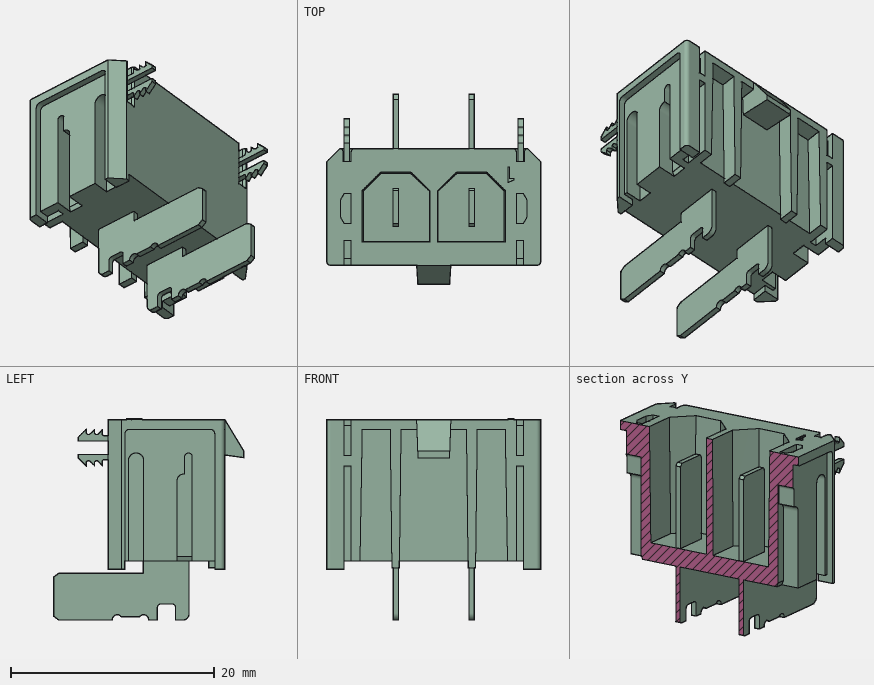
import cadquery as cq


width = 21.08
depth = 11.5
leg_height = 14.74
core_height = 13.93
back_chamfer = 1.3
front_radius = 0.4
half_width = width / 2

recess_depth = 0.66
recess_front = 1.0
recess_back = 9.85
recess_top = -0.96
recess_radius = 0.45
groove_width = 1.5
groove_top = -3.29
back_groove_front = 8.0
front_groove_front = 3.22
front_groove_neck = groove_width / 2
front_groove_shoulder = -5.35
front_groove_shoulder_radius = 0.7
groove_lead_in_height = 0.46
groove_lead_in_depth = 0.2

slot_inner = 8.13
slot_outer = 8.83
slot_depth = 2.43
upper_slot_shelf = -0.6
upper_slot_floor = -3.52
upper_slot_floor_depth = 0.68
lower_slot_top = -4.55
lower_slot_radius = 0.23
lock_slot_outer = 8.92
lock_slot_depth = 1.25
lock_slot_bottom = -5.0
lock_slot_flare = 0.15
lock_slot_flare_length = 0.3

pocket_outer = 9.2
pocket_front = 4.14
pocket_back = 7.06
pocket_corner = 0.65
pocket_depth = 0.6

pitch = 7.46
cavity_width = 6.7
cavity_front = 2.29
cavity_back = 9.21
cavity_flat = 2.92
cavity_shoulder = 7.33
cavity_depth = 12.0
cavity_outer_draft = 0.165
cavity_back_draft = 0.16
cavity_small_draft = 0.05

panel_depth = 1.6
panel_top = -0.97
side_panel_outer_top = 7.04
side_panel_outer_bottom = 7.26
rib_x = 3.75
rib_half_top = 0.53
rib_half_bottom = 0.375
rib_bottom = -14.6

latch_reach = 1.86
latch_half_root = 1.69
latch_half_tip = 1.55
latch_tip_top = -3.09
latch_tip_bottom = -3.76
latch_root_bottom = -3.5

sheet = 0.55
terminal_bottom = -19.75
terminal_tip = 16.86
arm_top = -15.11
post_front = 3.52
post_back = 8.06
heel_radius = 0.65
tip_corner_y = 0.52
tip_corner_z = 0.38
heel_notch_front = 4.87
heel_notch_back = 6.64
heel_notch_top = -18.16
heel_notch_radius = 0.33
relief_top = -19.43
relief_radius = 0.48
relief_front = 8.0
relief_back = 10.6
relief_center_z = -19.7
blade_front = 3.84
blade_back = 7.59
blade_top = -3.25
blade_front_bevel = 0.3
blade_back_bevel = 0.22
blade_bevel_height = 0.3

lock_x = 8.56
lock_middle = -2.765
lock_half_gap = 0.655
lock_shank = 0.54
lock_shank_radius = 0.15
lock_tip = 14.45
lock_tip_height = 0.37
lock_root = 9.6
barb_height = 1.8
barb_valley = 1.3
first_barb_height = 1.85
barb_y = (13.63, 12.82, 12.07)
barb_valley_length = 0.4
barb_valley_rise = 0.1

mark_height = 0.13
mark_left = 7.32
mark_right = 7.88
mark_stem = 0.15
mark_front = 8.16
mark_back = 9.67
mark_flag_back = 8.56
mark_flag_tip = 8.41


def block(x0, x1, y0, y1, z0, z1):
    return cq.Workplane("XY").box(x1 - x0, y1 - y0, z1 - z0, centered=False).translate((x0, y0, z0))


def side_profile(points, x0, x1):
    """Extrude a closed (y, z) outline from x0 to x1."""
    return cq.Workplane("YZ").polyline(points).close().extrude(x1 - x0).translate((x0, 0, 0))


def front_profile(points, y0, y1):
    """Extrude a closed (x, z) outline from y0 to y1."""
    return cq.Workplane("XZ").polyline(points).close().extrude(y0 - y1).translate((0, y0, 0))


def both_ends(shape):
    """The +X shape together with its mirror image."""
    return shape.union(shape.mirror("YZ"))


def make_shell():
    shell = block(-half_width, half_width, 0, depth, -leg_height, 0)
    shell = shell.edges("|Z and >Y").chamfer(back_chamfer)
    shell = shell.edges("|Z and <Y").fillet(front_radius)
    between_legs = block(-slot_outer, slot_outer, 0, depth, -leg_height, -core_height)
    below_recesses = block(-half_width, half_width, recess_front, recess_back, -leg_height, -core_height)
    return shell.cut(between_legs).cut(below_recesses)


def make_round_groove(front_y, groove, mouth_x):
    """End-wall groove of the given width, open at the bottom and with a half-round top."""
    radius = groove / 2
    return (
        cq.Workplane("YZ")
        .moveTo(front_y, -core_height)
        .lineTo(front_y, groove_top - radius)
        .threePointArc((front_y + radius, groove_top), (front_y + groove, groove_top - radius))
        .lineTo(front_y + groove, -core_height)
        .close()
        .extrude(mouth_x - slot_inner)
        .translate((slot_inner, 0, 0))
    )


def make_end_recess():
    floor_x = half_width - recess_depth
    recess = block(floor_x, half_width, recess_front, recess_back, -leg_height, recess_top)
    recess = recess.edges("|X and >Z").fillet(recess_radius)

    back_groove = make_round_groove(back_groove_front, groove_width, floor_x)
    neck_back = front_groove_front + front_groove_neck
    groove_back = front_groove_front + groove_width
    neck = make_round_groove(front_groove_front, front_groove_neck, floor_x)
    wide = block(slot_inner, floor_x, neck_back, groove_back, -core_height, front_groove_shoulder)
    wide = wide.edges("|X and >Z and >Y").fillet(front_groove_shoulder_radius)
    lead_in = front_profile(
        [
            (slot_inner, -core_height),
            (slot_inner - groove_lead_in_depth, -core_height),
            (slot_inner, -core_height + groove_lead_in_height),
        ],
        front_groove_front,
        groove_back,
    )
    return recess.union(back_groove).union(neck).union(wide).union(lead_in)


def make_leg_slots():
    upper = side_profile(
        [
            (0, 0),
            (0, upper_slot_floor),
            (upper_slot_floor_depth, upper_slot_floor),
            (upper_slot_floor_depth, upper_slot_shelf),
            (slot_depth, upper_slot_shelf),
            (slot_depth, 0),
        ],
        slot_inner,
        slot_outer,
    )
    lower = block(slot_inner, slot_outer, 0, slot_depth, -leg_height, lower_slot_top)
    lower = lower.edges("|X and >Y and >Z").fillet(lower_slot_radius)
    return upper.union(lower)


def make_lock_slot():
    inner_y = depth - lock_slot_depth
    flare_y = depth - lock_slot_flare_length
    outline = [
        (slot_inner, inner_y),
        (lock_slot_outer, inner_y),
        (lock_slot_outer, flare_y),
        (lock_slot_outer + lock_slot_flare, depth),
        (slot_inner - lock_slot_flare, depth),
        (slot_inner, flare_y),
    ]
    return cq.Workplane("XY").polyline(outline).close().extrude(lock_slot_bottom)


def make_top_pocket():
    outline = [
        (slot_inner, pocket_front),
        (slot_outer, pocket_front),
        (pocket_outer, pocket_front + pocket_corner),
        (pocket_outer, pocket_back - pocket_corner),
        (slot_outer, pocket_back),
        (slot_inner, pocket_back),
    ]
    return cq.Workplane("XY").polyline(outline).close().extrude(-pocket_depth)


def cavity_outline(inner_x, outer_x, front_y, back_y, flat_center):
    return [
        (inner_x, front_y),
        (outer_x, front_y),
        (outer_x, cavity_shoulder),
        (flat_center + cavity_flat / 2, back_y),
        (flat_center - cavity_flat / 2, back_y),
        (inner_x, cavity_shoulder),
    ]


def make_cavity():
    center = pitch / 2
    inner_x = center - cavity_width / 2
    outer_x = center + cavity_width / 2
    mouth = cavity_outline(inner_x, outer_x, cavity_front, cavity_back, center)
    floor = cavity_outline(
        inner_x + cavity_small_draft,
        outer_x - cavity_outer_draft,
        cavity_front + cavity_small_draft,
        cavity_back - cavity_back_draft,
        center,
    )
    return (
        cq.Workplane("XY")
        .polyline(mouth)
        .close()
        .workplane(offset=-cavity_depth)
        .polyline(floor)
        .close()
        .loft(ruled=True)
    )


def make_front_panels():
    side_panel = front_profile(
        [
            (rib_x + rib_half_top, panel_top),
            (side_panel_outer_top, panel_top),
            (side_panel_outer_bottom, -core_height),
            (rib_x + rib_half_bottom, -core_height),
        ],
        0,
        panel_depth,
    )
    center_top = rib_x - rib_half_top
    center_bottom = rib_x - rib_half_bottom
    center_panel = front_profile(
        [
            (-center_top, panel_top),
            (center_top, panel_top),
            (center_bottom, -core_height),
            (-center_bottom, -core_height),
        ],
        0,
        panel_depth,
    )
    return both_ends(side_panel).union(center_panel)


def make_rib_foot():
    return block(
        rib_x - rib_half_bottom, rib_x + rib_half_bottom, 0, panel_depth, rib_bottom, -core_height
    )


def make_latch():
    under_slope = (latch_root_bottom - latch_tip_bottom) / latch_reach
    ramp = side_profile(
        [
            (panel_depth, 0),
            (0, 0),
            (-latch_reach, latch_tip_top),
            (-latch_reach, latch_tip_bottom),
            (panel_depth, latch_root_bottom + under_slope * panel_depth),
        ],
        -latch_half_root,
        latch_half_root,
    )
    taper = front_profile(
        [
            (-latch_half_root, 0),
            (latch_half_root, 0),
            (latch_half_tip, latch_tip_bottom),
            (-latch_half_tip, latch_tip_bottom),
        ],
        -latch_reach,
        panel_depth,
    )
    return ramp.intersect(taper)


def make_pin_mark():
    outline = [
        (mark_left, mark_front),
        (mark_right, mark_flag_tip),
        (mark_right, mark_flag_back),
        (mark_left + mark_stem, mark_flag_back),
        (mark_left + mark_stem, mark_back),
        (mark_left, mark_back),
    ]
    return cq.Workplane("XY").polyline(outline).close().extrude(mark_height)


def make_terminal():
    x0 = (pitch - sheet) / 2
    x1 = x0 + sheet
    post = block(x0, x1, post_front, post_back, terminal_bottom, -cavity_depth)
    post = post.edges("|X and <Y and <Z").fillet(heel_radius)
    arm = side_profile(
        [
            (post_back, terminal_bottom),
            (terminal_tip - tip_corner_y, terminal_bottom),
            (terminal_tip, terminal_bottom + tip_corner_z),
            (terminal_tip, arm_top - tip_corner_z),
            (terminal_tip - tip_corner_y, arm_top),
            (post_back, arm_top),
        ],
        x0,
        x1,
    )
    blade_shoulder = blade_top - blade_bevel_height
    blade = side_profile(
        [
            (blade_front, -cavity_depth),
            (blade_front, blade_shoulder),
            (blade_front + blade_front_bevel, blade_top),
            (blade_back - blade_back_bevel, blade_top),
            (blade_back, blade_shoulder),
            (blade_back, -cavity_depth),
        ],
        x0,
        x1,
    )
    heel_notch = block(x0, x1, heel_notch_front, heel_notch_back, terminal_bottom, heel_notch_top)
    heel_notch = heel_notch.edges("|X and >Z").fillet(heel_notch_radius)
    relief = block(x0, x1, relief_front, relief_back, terminal_bottom, relief_top)
    scallops = (
        cq.Workplane("YZ")
        .pushPoints([(relief_front, relief_center_z), (relief_back, relief_center_z)])
        .circle(relief_radius)
        .extrude(sheet)
        .translate((x0, 0, 0))
    )
    return post.union(arm).union(blade).cut(heel_notch).cut(relief).cut(scallops)


def make_lock_prong():
    """Upper barbed prong, with its heights measured up from the middle of the lock."""
    shank_top = lock_half_gap + lock_shank
    prong = (
        cq.Workplane("YZ")
        .moveTo(lock_root, lock_half_gap)
        .lineTo(lock_tip, lock_half_gap)
        .lineTo(lock_tip, lock_half_gap + lock_tip_height)
        .lineTo(barb_y[0], first_barb_height)
    )
    for barb, next_barb in zip(barb_y, barb_y[1:]):
        valley_edge = barb_valley + barb_valley_rise
        valley_middle = (barb - barb_valley_length / 2, barb_valley)
        prong = (
            prong.lineTo(barb, valley_edge)
            .threePointArc(valley_middle, (barb - barb_valley_length, valley_edge))
            .lineTo(next_barb, barb_height)
        )
    prong = (
        prong.lineTo(barb_y[-1], shank_top + lock_shank_radius)
        .radiusArc((barb_y[-1] - lock_shank_radius, shank_top), lock_shank_radius)
        .lineTo(lock_root, shank_top)
        .close()
        .extrude(sheet)
    )
    return prong.translate((lock_x - sheet / 2, 0, 0))


def make_board_lock():
    prong = make_lock_prong()
    return prong.union(prong.mirror("XY")).translate((0, 0, lock_middle))


housing = make_shell()
for cutter in (make_end_recess(), make_leg_slots(), make_lock_slot(), make_top_pocket(), make_cavity()):
    housing = housing.cut(both_ends(cutter))
housing = housing.cut(make_front_panels())
housing = housing.union(both_ends(make_rib_foot())).union(make_latch()).union(make_pin_mark())

result = housing.union(both_ends(make_terminal())).union(both_ends(make_board_lock()))